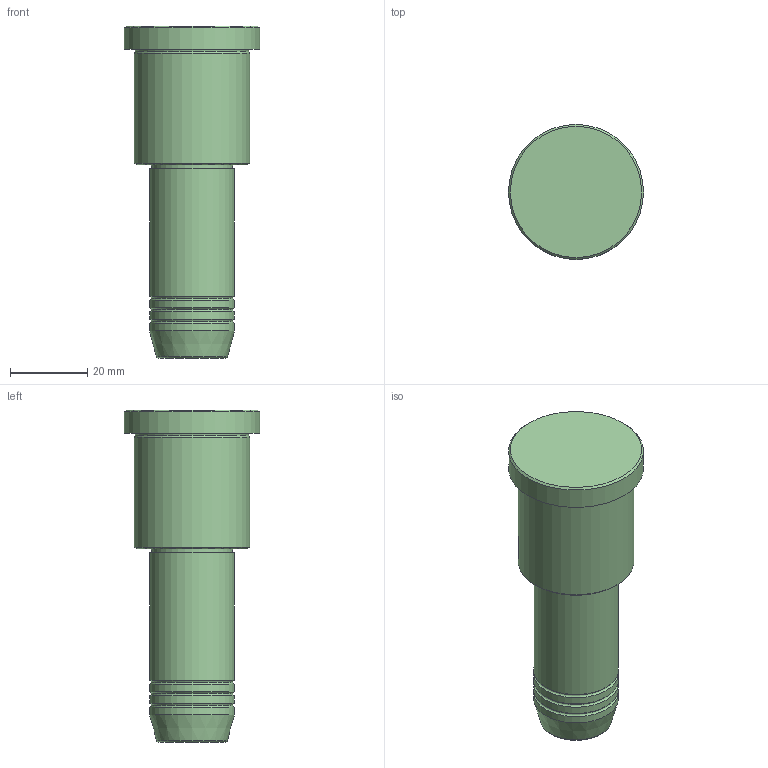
import cadquery as cq
import math

total_height = 86.0

head_radius = 17.5
head_height = 6.0
head_chamfer = 0.5

body_radius = 15.0
body_length = 30.0
body_end_chamfer = 0.5
body_relief_depth = 0.28
body_relief_width = 1.0

shaft_radius = 11.0
neck_depth = 0.5
neck_length = 1.0

groove_count = 3
groove_width = 1.0
groove_depth = 0.5
groove_pitch = 3.0
lowest_groove_z = 9.5

taper_height = 7.0
taper_angle = 15.0
tip_rounding = 0.5

head_bottom_z = total_height - head_height
body_bottom_z = head_bottom_z - body_length
neck_bottom_z = body_bottom_z - neck_length
tip_radius = shaft_radius - taper_height * math.tan(math.radians(taper_angle))


def cylinder(radius, bottom_z, top_z):
    """Solid cylinder on the Z axis between two levels."""
    return cq.Workplane("XY").workplane(offset=bottom_z).circle(radius).extrude(top_z - bottom_z)


def round_groove(surface_radius, center_z, width, depth):
    """Ring that cuts a circular-arc groove into a cylinder, in two arcs that meet at the groove floor."""
    half_width = width / 2
    arc_radius = (half_width**2 + depth**2) / (2 * depth)
    return (
        cq.Workplane("XZ")
        .moveTo(surface_radius, center_z + half_width)
        .radiusArc((surface_radius - depth, center_z), -arc_radius)
        .radiusArc((surface_radius, center_z - half_width), -arc_radius)
        .close()
        .revolve(360, (0, 0, 0), (0, 1, 0), clean=False)
    )


def make_head():
    """Disc with a chamfered upper rim."""
    head = cylinder(head_radius, head_bottom_z, total_height)
    return head.faces(">Z").chamfer(head_chamfer)


def make_body():
    """Thick cylinder with a chamfered lower rim and a relief groove at its top."""
    body = cylinder(body_radius, body_bottom_z, head_bottom_z)
    body = body.faces("<Z").chamfer(body_end_chamfer)
    relief_z = head_bottom_z - body_relief_width / 2
    return body.cut(round_groove(body_radius, relief_z, body_relief_width, body_relief_depth), clean=False)


def make_tip():
    """Cone that narrows downward to a rounded end."""
    tip = (
        cq.Workplane("XZ")
        .lineTo(tip_radius, 0)
        .lineTo(shaft_radius, taper_height)
        .lineTo(0, taper_height)
        .close()
        .revolve(360, (0, 0, 0), (0, 1, 0))
    )
    return tip.faces("<Z").edges().fillet(tip_rounding)


def make_shaft():
    """Grooved cylinder with a reduced neck below the body."""
    shaft = cylinder(shaft_radius, taper_height, neck_bottom_z)
    for index in range(groove_count):
        groove_z = lowest_groove_z + index * groove_pitch
        shaft = shaft.cut(round_groove(shaft_radius, groove_z, groove_width, groove_depth), clean=False)
    neck = cylinder(shaft_radius - neck_depth, neck_bottom_z, body_bottom_z)
    return shaft.union(neck, clean=False)


result = make_head()
for section in (make_body(), make_shaft(), make_tip()):
    result = result.union(section, clean=False)